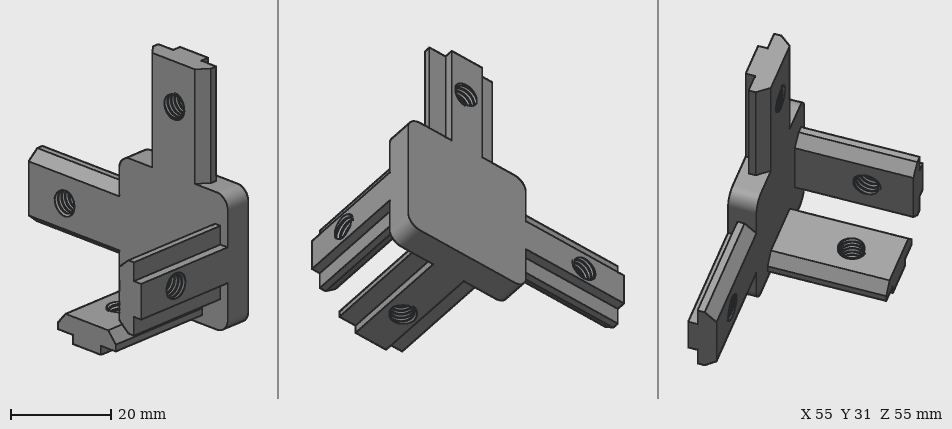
import cadquery as cq

plate_size = 30.0
plate_thickness = 6.0
plate_corner_radius = 3.0

arm_length = 25.0
arm_width = 16.0
arm_height = plate_thickness
stem_width = 7.8
stem_height = 2.0
flange_edge_height = 1.5
bevel_width = 2.1

hole_from_plate = 15.0
minor_diameter = 5.04
major_diameter = 6.15
thread_pitch = 1.0
groove_mouth = 0.75
root_overlap = 0.1
thread_overrun = 2 * thread_pitch

X_AXIS = cq.Vector(1, 0, 0)
Y_AXIS = cq.Vector(0, 1, 0)
Z_AXIS = cq.Vector(0, 0, 1)


def make_plate():
    """Round-cornered plate centred on X = 0 and Z = 0."""
    blank = cq.Workplane("XY").box(plate_size, plate_thickness, plate_size)
    return blank.edges("|Y").fillet(plate_corner_radius).translate((0, -plate_thickness / 2, 0))


def make_arm_blank():
    """T-profile arm along +Z from Z = 0, stem on Y = 0 and broad face on Y = -arm_height."""
    right_side = [
        (stem_width / 2, 0),
        (stem_width / 2, -stem_height),
        (arm_width / 2, -stem_height),
        (arm_width / 2, -stem_height - flange_edge_height),
        (arm_width / 2 - bevel_width, -arm_height),
    ]
    left_side = [(-x, y) for x, y in reversed(right_side)]
    return cq.Workplane("XY").polyline(right_side + left_side).close().extrude(arm_length)


def make_thread_groove():
    """Left-handed helical V-groove about Z, centred on the +X side where it crosses Z = 0."""
    minor_radius = minor_diameter / 2
    major_radius = major_diameter / 2
    inner_radius = minor_radius - root_overlap
    widening = (major_radius - inner_radius) / (major_radius - minor_radius)
    half_width = groove_mouth / 2 * widening
    section = (
        cq.Workplane("XZ")
        .polyline([(inner_radius, -half_width), (major_radius, 0), (inner_radius, half_width)])
        .close()
    )
    helix_length = arm_height + 2 * thread_overrun
    helix = cq.Wire.makeHelix(thread_pitch, helix_length, major_radius, lefthand=True)
    groove = section.sweep(cq.Workplane(helix), isFrenet=True)
    return groove.translate((0, 0, -thread_overrun))


def make_threaded_arm():
    """Arm with its threaded hole running from the broad face to the stem."""
    hole_frame = cq.Plane(
        origin=(0, -arm_height, hole_from_plate),
        xDir=X_AXIS.toTuple(),
        normal=Y_AXIS.toTuple(),
    )
    bore = cq.Workplane("XY").circle(minor_diameter / 2).extrude(arm_height)
    arm = make_arm_blank()
    for cutter in (make_thread_groove(), bore):
        arm = arm.cut(cq.Workplane(cutter.val().moved(cq.Location(hole_frame))))
    return arm


def place_arm(arm, root, direction, stem_side):
    """Move an arm to its root point, pointing along direction with its stem toward stem_side."""
    frame = cq.Plane(
        origin=root.toTuple(),
        xDir=stem_side.cross(direction).toTuple(),
        normal=direction.toTuple(),
    )
    return cq.Workplane(arm.val().moved(cq.Location(frame)))


half_plate = plate_size / 2
inner_face = Y_AXIS * -plate_thickness

left_handed_arm = make_threaded_arm()
right_handed_arm = left_handed_arm.mirror("YZ")

arm_placements = [
    (left_handed_arm, Z_AXIS * half_plate, Z_AXIS, Y_AXIS),
    (right_handed_arm, X_AXIS * -half_plate, X_AXIS * -1, Y_AXIS),
    (left_handed_arm, inner_face - Z_AXIS * half_plate, Y_AXIS * -1, Z_AXIS * -1),
    (right_handed_arm, inner_face + X_AXIS * half_plate, Y_AXIS * -1, X_AXIS),
]

result = make_plate()
for arm, root, direction, stem_side in arm_placements:
    result = result.union(place_arm(arm, root, direction, stem_side))